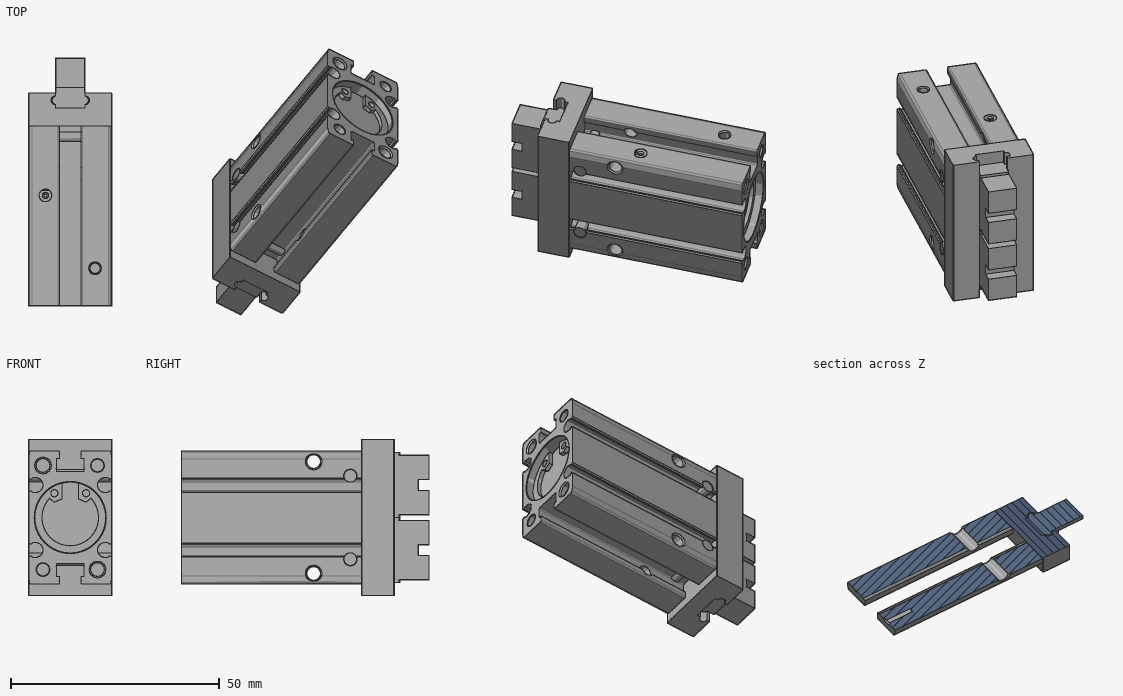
import cadquery as cq

WIDTH = 20.0
TIP_Y = 59.4

PLATE_BACK_Y = 43.2
PLATE_FRONT_Y = 51.1
PLATE_HEIGHT = 37.4
PLATE_CHAMFER = 0.2

FINGER_WIDTH = 7.0
FINGER_BACK_Y = 47.45
FINGER_LENGTH = 14.3
FINGER_BASE_LENGTH = 15.6
FINGER_BASE_FRONT_Y = 52.4
FINGER_BASE_FILLET = 0.35
FINGER_CENTER_Z = FINGER_BASE_LENGTH / 2
NOTCH_WIDTH = 2.55
NOTCH_DEPTH = 2.55
RAIL_CENTER_Y = 49.3
RAIL_HALF_WIDTH = 1.0
RAIL_HEIGHT = 0.9
GROOVE_DEPTH = 1.05

HALF_WIDTH = WIDTH / 2
HALF_HEIGHT = 16.0
TOP_FLAT_X = 9.2
SHOULDER_X = 9.75
SHOULDER_Z = 15.7
SIDE_FLAT_Z = 14.0

T_NECK_WIDTH = 5.15
T_WIDTH = 6.65
T_LIP_Z = 14.2
T_FLOOR_Z = 11.0
T_CORNER = 0.3
T_LIP_FILLET = 0.35

SENSOR_X = 8.3
SENSOR_Z = 7.8
SENSOR_DIAMETER = 3.55
SENSOR_NECK_WIDTH = 2.85
SENSOR_CHAMFER = 0.3
SENSOR_FLAT_END_X = 8.95
SENSOR_NECK_X = 9.3

PIN_DIAMETER = 3.0
PIN_Y = 40.5
PIN_Z = 10.0
PIN_MOUTH = 3.2

SIDE_HOLE_Y = 31.7
SIDE_HOLE_Z = 13.4
TAP_DIAMETER = 3.25
TAP_MOUTH = 4.0
REAR_HOLE_X = 6.55
REAR_HOLE_Z = 12.5
REAR_HOLE_DEPTH = 7.1
DOWEL_DIAMETER = 3.0
DOWEL_MOUTH = 3.25

PORT_X = 5.95
PORT_Y = 9.0
PORT_DIAMETER = 2.45
PORT_MOUTH = 3.0
PORT_DEPTH = 2.4
SCREW_X = -PORT_X
SCREW_Y = 26.5
SCREW_RECESS = 0.1
SCREW_FLAT_WIDTH = 0.35
SCREW_FLAT_DEPTH = 0.5
SOCKET_MOUTH = 1.5
SOCKET_DIAMETER = 0.8
SOCKET_DEPTH = 1.8

BORE_DIAMETER = 17.0
BORE_MOUTH = 17.3
BORE_DEPTH = 3.0
RING_INNER_DIAMETER = 13.55
RING_THICKNESS = 1.0
RING_GAP_HALF_WIDTH = 2.0
EAR_HOLE_X = 3.8
EAR_HOLE_Z = 5.8
EAR_HOLE_DIAMETER = 1.7
EAR_INNER_Z = 4.45
EAR_TIP_Z = 3.7
EAR_OUTER_X = 4.95
EAR_OUTER_Z = 4.6


def block(x_range, y_range, z_range):
    """Box between the given limits along each axis."""
    size = [high - low for low, high in (x_range, y_range, z_range)]
    return cq.Workplane("XY").box(*size, centered=False).translate((x_range[0], y_range[0], z_range[0]))


def chamfered_hole(point, direction, depth, diameter, mouth):
    """Cutter for a flat-bottomed hole from point, widened to the mouth diameter by a 45 degree cone."""
    start = cq.Vector(*point)
    axis = cq.Vector(*direction)
    chamfer = (mouth - diameter) / 2
    drill = cq.Solid.makeCylinder(diameter / 2, depth, start, axis)
    cone = cq.Solid.makeCone(mouth / 2, diameter / 2, chamfer, start, axis)
    return cq.Workplane(drill.fuse(cone))


def housing_blank():
    """Rectangular bar whose four long corners are eased by two tangent arcs."""
    quarter = (
        cq.Workplane("XZ")
        .lineTo(HALF_WIDTH, 0)
        .lineTo(HALF_WIDTH, SIDE_FLAT_Z)
        .tangentArcPoint((SHOULDER_X, SHOULDER_Z), relative=False)
        .tangentArcPoint((TOP_FLAT_X, HALF_HEIGHT), relative=False)
        .lineTo(0, HALF_HEIGHT)
        .close()
        .extrude(-PLATE_BACK_Y)
    )
    half = quarter.union(quarter.mirror("YZ"))
    return half.union(half.mirror("XY")).clean()


def t_slot():
    """Cutter for the upper T-slot, with rounded mouth and inner corners."""
    neck = T_NECK_WIDTH / 2
    wide = T_WIDTH / 2
    mouth = neck + T_LIP_FILLET
    half = (
        cq.Workplane("XZ")
        .moveTo(0, T_FLOOR_Z)
        .lineTo(wide - T_CORNER, T_FLOOR_Z)
        .tangentArcPoint((wide, T_FLOOR_Z + T_CORNER), relative=False)
        .lineTo(wide, T_LIP_Z - T_CORNER)
        .tangentArcPoint((wide - T_CORNER, T_LIP_Z), relative=False)
        .lineTo(neck, T_LIP_Z)
        .lineTo(neck, HALF_HEIGHT - T_LIP_FILLET)
        .tangentArcPoint((mouth, HALF_HEIGHT), relative=False)
        .lineTo(0, HALF_HEIGHT)
        .close()
        .extrude(-PLATE_BACK_Y)
    )
    return half.union(half.mirror("YZ"))


def sensor_groove():
    """Cutter for the groove at +X, +Z: a round channel that tapers to a narrower chamfered neck."""
    radius = SENSOR_DIAMETER / 2
    neck = SENSOR_NECK_WIDTH / 2
    mouth = neck + SENSOR_CHAMFER
    return (
        cq.Workplane("XZ", origin=(0, 0, SENSOR_Z))
        .moveTo(SENSOR_X, radius)
        .threePointArc((SENSOR_X - radius, 0), (SENSOR_X, -radius))
        .lineTo(SENSOR_FLAT_END_X, -radius)
        .lineTo(SENSOR_NECK_X, -neck)
        .lineTo(HALF_WIDTH - SENSOR_CHAMFER, -neck)
        .lineTo(HALF_WIDTH, -mouth)
        .lineTo(HALF_WIDTH, mouth)
        .lineTo(HALF_WIDTH - SENSOR_CHAMFER, neck)
        .lineTo(SENSOR_NECK_X, neck)
        .lineTo(SENSOR_FLAT_END_X, radius)
        .close()
        .extrude(-PLATE_BACK_Y)
    )


def cross_pin(z):
    """Pin along X whose ends stop at the foot of the chamfers of its hole."""
    half_length = HALF_WIDTH - (PIN_MOUTH - PIN_DIAMETER) / 2
    return cq.Workplane("YZ").center(PIN_Y, z).circle(PIN_DIAMETER / 2).extrude(half_length, both=True)


def set_screw_recess():
    """Cutter for the shallow round recess, its sloped flat and the countersunk socket."""
    radius = PORT_MOUTH / 2
    flat_y = radius - SCREW_FLAT_WIDTH
    recess = cq.Workplane("XY").circle(radius).extrude(-SCREW_RECESS)
    wedge = (
        cq.Workplane("YZ")
        .polyline([(flat_y, 0), (radius, 0), (flat_y, -SCREW_FLAT_DEPTH)])
        .close()
        .extrude(radius, both=True)
        .intersect(cq.Workplane("XY").circle(radius).extrude(-SCREW_FLAT_DEPTH))
    )
    socket = chamfered_hole((0, 0, -SCREW_RECESS), (0, 0, -1), SOCKET_DEPTH, SOCKET_DIAMETER, SOCKET_MOUTH)
    return recess.union(wedge).union(socket).translate((SCREW_X, SCREW_Y, HALF_HEIGHT))


def retaining_ring():
    """Flat ring on the bore floor, open at the top between two ears with plier holes."""
    bore = cq.Workplane("XZ").circle(BORE_DIAMETER / 2).extrude(-RING_THICKNESS)
    band = bore.cut(cq.Workplane("XZ").circle(RING_INNER_DIAMETER / 2).extrude(-RING_THICKNESS))
    ears = (
        cq.Workplane("XZ")
        .polyline(
            [
                (0, EAR_INNER_Z),
                (RING_GAP_HALF_WIDTH, EAR_INNER_Z),
                (EAR_HOLE_X, EAR_TIP_Z),
                (EAR_OUTER_X, EAR_OUTER_Z),
                (EAR_OUTER_X, BORE_DIAMETER / 2),
                (0, BORE_DIAMETER / 2),
            ]
        )
        .close()
        .extrude(-RING_THICKNESS)
    )
    ears = ears.union(ears.mirror("YZ")).intersect(bore)
    gap = block(
        (-RING_GAP_HALF_WIDTH, RING_GAP_HALF_WIDTH),
        (0, RING_THICKNESS),
        (0, BORE_DIAMETER / 2),
    )
    holes = (
        cq.Workplane("XZ")
        .pushPoints([(-EAR_HOLE_X, EAR_HOLE_Z), (EAR_HOLE_X, EAR_HOLE_Z)])
        .circle(EAR_HOLE_DIAMETER / 2)
        .extrude(-RING_THICKNESS)
    )
    return band.union(ears).cut(gap).cut(holes).translate((0, BORE_DEPTH - RING_THICKNESS, 0))


def make_housing():
    """Extruded housing with its grooves, holes, cross pins and retaining ring."""
    housing = housing_blank()

    upper_t_slot = t_slot()
    housing = housing.cut(upper_t_slot).cut(upper_t_slot.mirror("XY"))
    right_grooves = sensor_groove()
    right_grooves = right_grooves.union(right_grooves.mirror("XY"))
    housing = housing.cut(right_grooves).cut(right_grooves.mirror("YZ"))

    for side in (1, -1):
        for end in (1, -1):
            inward = (-end, 0, 0)
            tap_start = (end * HALF_WIDTH, SIDE_HOLE_Y, side * SIDE_HOLE_Z)
            pin_start = (end * HALF_WIDTH, PIN_Y, side * PIN_Z)
            housing = housing.cut(chamfered_hole(tap_start, inward, HALF_WIDTH, TAP_DIAMETER, TAP_MOUTH))
            housing = housing.cut(chamfered_hole(pin_start, inward, HALF_WIDTH, PIN_DIAMETER, PIN_MOUTH))
        housing = housing.union(cross_pin(side * PIN_Z))

    for side in (1, -1):
        tap_start = (-side * REAR_HOLE_X, 0, side * REAR_HOLE_Z)
        dowel_start = (side * REAR_HOLE_X, 0, side * REAR_HOLE_Z)
        housing = housing.cut(chamfered_hole(tap_start, (0, 1, 0), REAR_HOLE_DEPTH, TAP_DIAMETER, TAP_MOUTH))
        housing = housing.cut(chamfered_hole(dowel_start, (0, 1, 0), REAR_HOLE_DEPTH, DOWEL_DIAMETER, DOWEL_MOUTH))

    port_start = (PORT_X, PORT_Y, HALF_HEIGHT)
    housing = housing.cut(chamfered_hole(port_start, (0, 0, -1), PORT_DEPTH, PORT_DIAMETER, PORT_MOUTH))
    housing = housing.cut(set_screw_recess())

    housing = housing.cut(chamfered_hole((0, 0, 0), (0, 1, 0), BORE_DEPTH, BORE_DIAMETER, BORE_MOUTH))
    return housing.union(retaining_ring())


def guide_section(back_y, front_y, bulge, length):
    """Bar along Z whose sides each carry a lengthwise round rail standing out by bulge."""
    half = FINGER_WIDTH / 2
    rail_back = RAIL_CENTER_Y - RAIL_HALF_WIDTH
    rail_front = RAIL_CENTER_Y + RAIL_HALF_WIDTH
    return (
        cq.Workplane("XY")
        .moveTo(-half, back_y)
        .lineTo(half, back_y)
        .lineTo(half, rail_back)
        .threePointArc((half + bulge, RAIL_CENTER_Y), (half, rail_front))
        .lineTo(half, front_y)
        .lineTo(-half, front_y)
        .lineTo(-half, rail_front)
        .threePointArc((-half - bulge, RAIL_CENTER_Y), (-half, rail_back))
        .close()
        .extrude(length / 2, both=True)
    )


def make_plate():
    """Guide plate on the front of the housing, slotted along Z for the fingers."""
    half_height = PLATE_HEIGHT / 2
    plate = block(
        (-HALF_WIDTH, HALF_WIDTH),
        (PLATE_BACK_Y, PLATE_FRONT_Y),
        (-half_height, half_height),
    )
    plate = plate.edges("|Z").chamfer(PLATE_CHAMFER)
    return plate.cut(guide_section(FINGER_BACK_Y, PLATE_FRONT_Y, GROOVE_DEPTH, PLATE_HEIGHT))


def make_finger(center_z):
    """Finger on a railed base, with a notch across its tip."""
    base = guide_section(FINGER_BACK_Y, FINGER_BASE_FRONT_Y, RAIL_HEIGHT, FINGER_BASE_LENGTH)
    base = base.edges("|Z and >Y").fillet(FINGER_BASE_FILLET)
    half_width = FINGER_WIDTH / 2
    half_length = FINGER_LENGTH / 2
    jaw = block((-half_width, half_width), (PLATE_FRONT_Y, TIP_Y), (-half_length, half_length))
    notch = block(
        (-half_width, half_width),
        (TIP_Y - NOTCH_DEPTH, TIP_Y),
        (-NOTCH_WIDTH / 2, NOTCH_WIDTH / 2),
    )
    return base.union(jaw).cut(notch).translate((0, 0, center_z))


housing = make_housing()
plate = make_plate()
fingers = [make_finger(side * FINGER_CENTER_Z) for side in (1, -1)]

result = cq.Compound.makeCompound([housing.val(), plate.val(), *[finger.val() for finger in fingers]])